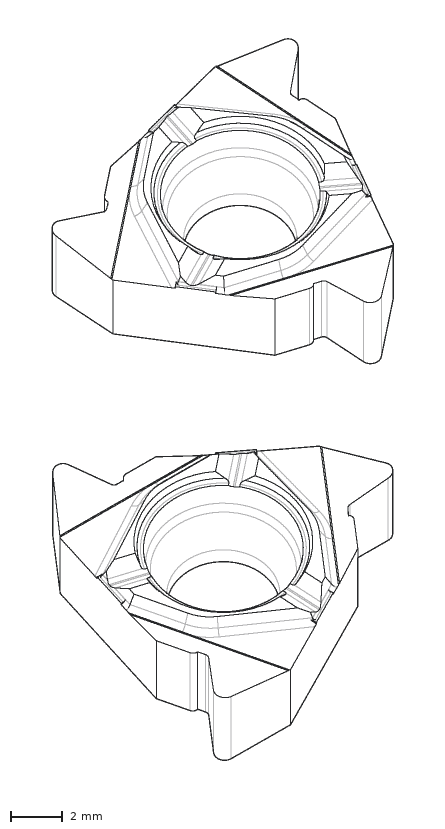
import cadquery as cq
import math

CORNERS = 3
CORNER_STEP = 360 / CORNERS
OVERALL_LENGTH = 13.14
SIDE_DISTANCE = 4.76
TOTAL_HEIGHT = 4.1
MARGIN = 7.88
FOOT_REACH = 5.91
SELECT_GAP = 0.01

TOOTH_HALF_ANGLE = 30.0
TIP_RADIUS = 0.43
TIP_X = -2.95
SHOULDER_Y = 5.19
NOTCH_Y = 5.0
NOTCH_END_X = -1.15
NOTCH_ROUND_RADIUS = 0.26
NOTCH_FILLET_RADIUS = 0.21

FLOOR_Z = 3.51
VALLEY_Y = 4.3
RAKE_ANGLE = 10.3
VALLEY_BLEND = 0.03

RAKE_EDGE_DISTANCE = 3.76
OBLIQUE_EDGE_DISTANCE = 3.6
OBLIQUE_EDGE_ANGLE = 121.9
SIDE_EDGE_DISTANCE = 4.31
BOSS_CORNER_RADIUS = 2.1
BOSS_DRAFT = 30.0
BOSS_FOOT_RADIUS = 0.35
PAD_Z = 3.61
PAD_DEPTH = 1.05
PAD_FOOT_RADIUS = 0.13
PAD_START_Y = 0.18
PAD_END_Y = 1.77

GROOVE_ANGLE = 165.0
GROOVE_OFFSET = 0.08
GROOVE_FLOOR_Z = 3.63
GROOVE_FLOOR_HALF_WIDTH = 0.16
GROOVE_TOP_HALF_WIDTH = 0.78
GROOVE_FILLET_RADIUS = 0.37

BORE_RADIUS = 4.4 / 2
THROAT_Z = 0.76
SEAT_RADIUS = 2.84
SEAT_TOP_Z = 2.33
SEAT_CURVE = 2.23
COUNTERBORE_RADIUS = 3.02
COUNTERBORE_MOUTH_RADIUS = 3.1
COUNTERBORE_FLOOR_Z = 2.65
SEAT_FILLET_RADIUS = 0.59
LEDGE_Z = 3.68
LEDGE_RADIUS = 3.22
LEDGE_FILLET_RADIUS = 0.13
RIM_RADIUS = 3.47


def rotated(point, angle):
    """Turn an XY point about the axis."""
    c = math.cos(math.radians(angle))
    s = math.sin(math.radians(angle))
    return (point[0] * c - point[1] * s, point[0] * s + point[1] * c)


def lines_meet(angle_1, distance_1, angle_2, distance_2):
    """Crossing of two lines, each given by its normal angle and its distance from the axis."""
    a1, a2 = math.radians(angle_1), math.radians(angle_2)
    det = math.sin(a2 - a1)
    x = (distance_1 * math.sin(a2) - distance_2 * math.sin(a1)) / det
    y = (distance_2 * math.cos(a1) - distance_1 * math.cos(a2)) / det
    return (x, y)


def around_axis(solid):
    """Join the solid with its copies at the other corners."""
    joined = solid
    for i in range(1, CORNERS):
        joined = joined.union(solid.rotate((0, 0, 0), (0, 0, 1), i * CORNER_STEP))
    return joined


def outline_prism():
    """Plan outline of the insert, walked clockwise one corner at a time."""
    slope = math.tan(math.radians(90 - TOOTH_HALF_ANGLE))
    cos_half = math.cos(math.radians(TOOTH_HALF_ANGLE))
    sin_half = math.sin(math.radians(TOOTH_HALF_ANGLE))
    tip_centre_y = (OVERALL_LENGTH - 2 * TIP_RADIUS + TIP_X * cos_half) / (1 + sin_half)
    apex_y = tip_centre_y + TIP_RADIUS / sin_half
    tangent_dx = TIP_RADIUS * cos_half
    tangent_y = tip_centre_y + TIP_RADIUS * sin_half
    step_centre_y = SHOULDER_Y - NOTCH_ROUND_RADIUS
    step_width = math.sqrt(NOTCH_ROUND_RADIUS ** 2 - (NOTCH_Y - step_centre_y) ** 2)

    root = (-SIDE_DISTANCE, apex_y - slope * (TIP_X + SIDE_DISTANCE))
    tip_start = (TIP_X - tangent_dx, tangent_y)
    tip_top = (TIP_X, tip_centre_y + TIP_RADIUS)
    tip_end = (TIP_X + tangent_dx, tangent_y)
    notch_corner_x = TIP_X + (apex_y - NOTCH_Y) / slope
    setback = NOTCH_FILLET_RADIUS * math.tan(math.radians((90 - TOOTH_HALF_ANGLE) / 2))
    fillet_start = (notch_corner_x - setback * sin_half, NOTCH_Y + setback * cos_half)
    fillet_end = (notch_corner_x + setback, NOTCH_Y)
    notch_end = (NOTCH_END_X, NOTCH_Y)
    land_start = (NOTCH_END_X + step_width, SHOULDER_Y)
    land_end = lines_meet(60, SIDE_DISTANCE, 90, SHOULDER_Y)

    wire = cq.Workplane("XY").moveTo(*root)
    for i in range(CORNERS):
        turn = -i * CORNER_STEP
        if i > 0:
            wire = wire.lineTo(*rotated(root, turn))
        wire = wire.lineTo(*rotated(tip_start, turn))
        wire = wire.threePointArc(rotated(tip_top, turn), rotated(tip_end, turn))
        wire = wire.lineTo(*rotated(fillet_start, turn))
        wire = wire.radiusArc(rotated(fillet_end, turn), -NOTCH_FILLET_RADIUS)
        wire = wire.lineTo(*rotated(notch_end, turn))
        wire = wire.radiusArc(rotated(land_start, turn), NOTCH_ROUND_RADIUS)
        wire = wire.lineTo(*rotated(land_end, turn))
    return wire.close().extrude(TOTAL_HEIGHT)


def boss_foot_outline():
    """Corners of the boss outline where its flanks would reach the floor."""
    spread = (TOTAL_HEIGHT - FLOOR_Z) * math.tan(math.radians(BOSS_DRAFT))
    edges = []
    for i in range(CORNERS):
        turn = i * CORNER_STEP
        edges.append((90 + turn, RAKE_EDGE_DISTANCE + spread))
        edges.append((OBLIQUE_EDGE_ANGLE + turn, OBLIQUE_EDGE_DISTANCE + spread))
        edges.append((180 + turn, SIDE_EDGE_DISTANCE + spread))
    return [lines_meet(*edge, *edges[(i + 1) % len(edges)]) for i, edge in enumerate(edges)]


def boss_on_floor():
    """Flat floor with the drafted boss rising from it through a rounded foot."""
    boss_height = TOTAL_HEIGHT - FLOOR_Z
    foot_corner_radius = BOSS_CORNER_RADIUS + boss_height * math.tan(math.radians(BOSS_DRAFT))
    points = boss_foot_outline()
    foot = cq.Workplane("XY").polyline(points).close().extrude(boss_height)
    for x, y in points[::3]:
        corner = cq.selectors.NearestToPointSelector((x, y, boss_height / 2))
        foot = foot.edges("|Z").edges(corner).fillet(foot_corner_radius)

    floor = cq.Workplane("XY").circle(MARGIN).extrude(FLOOR_Z)
    boss = (
        cq.Workplane("XY").add(foot.faces("<Z").wires().val()).toPending()
        .extrude(boss_height, taper=BOSS_DRAFT)
        .translate((0, 0, FLOOR_Z))
    )
    foot_edges = cq.selectors.BoxSelector(
        (-FOOT_REACH, -FOOT_REACH, FLOOR_Z - SELECT_GAP),
        (FOOT_REACH, FOOT_REACH, FLOOR_Z + SELECT_GAP),
    )
    return floor.union(boss).edges(foot_edges).fillet(BOSS_FOOT_RADIUS)


def rake_wedge():
    """Block under the rake face that climbs from the valley to the +Y tooth tip."""
    rise = math.tan(math.radians(RAKE_ANGLE))
    blend_end = VALLEY_Y + VALLEY_BLEND
    return (
        cq.Workplane("YZ", origin=(-MARGIN, 0, 0))
        .moveTo(VALLEY_Y - VALLEY_BLEND, 0)
        .lineTo(VALLEY_Y - VALLEY_BLEND, FLOOR_Z)
        .tangentArcPoint((blend_end, FLOOR_Z + VALLEY_BLEND * rise), relative=False)
        .lineTo(MARGIN, FLOOR_Z + (MARGIN - VALLEY_Y) * rise)
        .lineTo(MARGIN, 0)
        .close()
        .extrude(2 * MARGIN)
    )


def side_pad():
    """Low step between the boss and the -X side face."""
    length = PAD_END_Y - PAD_START_Y
    pad = cq.Workplane("XY").box(PAD_DEPTH, length, PAD_Z, centered=False)
    return pad.translate((-SIDE_DISTANCE, PAD_START_Y, 0))


def round_pad_feet(solid):
    """Fillet between each side pad and the boss flank above it."""
    flank_spread = (TOTAL_HEIGHT - PAD_Z) * math.tan(math.radians(BOSS_DRAFT))
    foot_middle = (-SIDE_EDGE_DISTANCE - flank_spread, (PAD_START_Y + PAD_END_Y) / 2)
    for i in range(CORNERS):
        x, y = rotated(foot_middle, i * CORNER_STEP)
        pad_foot = cq.selectors.NearestToPointSelector((x, y, PAD_Z))
        solid = solid.edges(pad_foot).fillet(PAD_FOOT_RADIUS)
    return solid


def groove():
    """V-groove with a rounded bottom, cut outward from the axis."""
    profile = [
        (-GROOVE_FLOOR_HALF_WIDTH, GROOVE_FLOOR_Z),
        (-GROOVE_TOP_HALF_WIDTH, TOTAL_HEIGHT),
        (GROOVE_TOP_HALF_WIDTH, TOTAL_HEIGHT),
        (GROOVE_FLOOR_HALF_WIDTH, GROOVE_FLOOR_Z),
    ]
    return (
        cq.Workplane("YZ").polyline(profile).close().extrude(MARGIN)
        .edges("|X and <Z").fillet(GROOVE_FILLET_RADIUS)
        .translate((0, GROOVE_OFFSET, 0))
        .rotate((0, 0, 0), (0, 0, 1), GROOVE_ANGLE)
    )


def screw_hole():
    """Turned hole: straight bore, rounded seat, counterbore, ledge and flared rim."""
    ledge_fillet_end = (LEDGE_RADIUS + LEDGE_FILLET_RADIUS, LEDGE_Z + LEDGE_FILLET_RADIUS)
    return (
        cq.Workplane("XZ").moveTo(0, 0)
        .lineTo(BORE_RADIUS, 0)
        .lineTo(BORE_RADIUS, THROAT_Z)
        .radiusArc((SEAT_RADIUS, SEAT_TOP_Z), SEAT_CURVE)
        .radiusArc((COUNTERBORE_RADIUS, COUNTERBORE_FLOOR_Z), -SEAT_FILLET_RADIUS)
        .lineTo(COUNTERBORE_MOUTH_RADIUS, LEDGE_Z)
        .lineTo(LEDGE_RADIUS, LEDGE_Z)
        .radiusArc(ledge_fillet_end, -LEDGE_FILLET_RADIUS)
        .lineTo(RIM_RADIUS, TOTAL_HEIGHT)
        .lineTo(0, TOTAL_HEIGHT)
        .close()
        .revolve(360, (0, 0, 0), (0, 1, 0))
    )


body = boss_on_floor().union(around_axis(rake_wedge())).union(around_axis(side_pad()))
body = round_pad_feet(body).intersect(outline_prism())
result = body.cut(around_axis(groove())).cut(screw_hole())